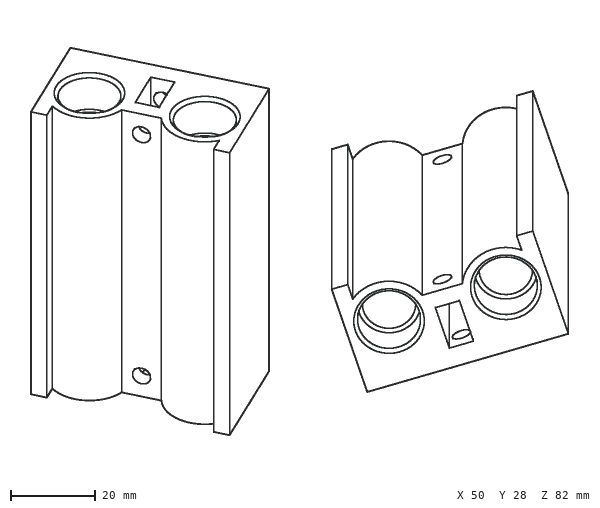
import cadquery as cq

WIDTH = 50.0
DEPTH = 28.0
LENGTH = 82.0

BORE_SPACING = 29.0
TUBE_RADIUS = 10.3
BORE_CENTER_FROM_BACK = 16.0
PASSAGE_RADIUS = 6.3
SEAT_RADIUS = 7.5
SEAT_DEPTH = 10.0
MOUTH_RADIUS = 8.4
MOUTH_DEPTH = 0.9

RAIL_WIDTH = 4.0
WEB_FRONT_FROM_BACK = 20.0

SLOT_WIDTH = 6.0
SLOT_BACK_WALL = 5.0
SLOT_DEPTH = BORE_CENTER_FROM_BACK - SLOT_BACK_WALL

SCREW_HOLE_DIAMETER = 4.5
SCREW_HOLE_SPACING = 70.0

BACK_Y = DEPTH / 2
BORE_Y = BACK_Y - BORE_CENTER_FROM_BACK
BORE_CENTERS = [(-BORE_SPACING / 2, BORE_Y), (BORE_SPACING / 2, BORE_Y)]


def box_from_back(width, start, depth):
    """Full-length box centred on X, starting at a distance in front of the back face."""
    return (
        cq.Workplane("XY")
        .box(width, depth, LENGTH)
        .translate((0, BACK_Y - start - depth / 2, 0))
    )


def make_body():
    """Block with a front recess that leaves two side rails and two half-exposed tubes."""
    block = box_from_back(WIDTH, 0, DEPTH)
    recess = box_from_back(WIDTH - 2 * RAIL_WIDTH, WEB_FRONT_FROM_BACK, DEPTH - WEB_FRONT_FROM_BACK)
    tubes = (
        cq.Workplane("XY", origin=(0, 0, -LENGTH / 2))
        .pushPoints(BORE_CENTERS)
        .circle(TUBE_RADIUS)
        .extrude(LENGTH)
    )
    return block.cut(recess).union(tubes)


def make_bore():
    """Stepped bore on the Z axis: narrow passage with a chamfered bearing seat at each end."""
    top = LENGTH / 2
    upper_half = (
        cq.Workplane("XZ")
        .moveTo(0, 0)
        .lineTo(PASSAGE_RADIUS, 0)
        .lineTo(PASSAGE_RADIUS, top - SEAT_DEPTH)
        .lineTo(SEAT_RADIUS, top - SEAT_DEPTH)
        .lineTo(SEAT_RADIUS, top - MOUTH_DEPTH)
        .lineTo(MOUTH_RADIUS, top)
        .lineTo(0, top)
        .close()
        .revolve(360, (0, 0), (0, 1))
    )
    return upper_half.union(upper_half.mirror("XY"))


def make_screw_holes():
    """Pair of cross holes near the ends, running along Y."""
    return (
        cq.Workplane("XZ", origin=(0, BACK_Y, 0))
        .rarray(0.8, SCREW_HOLE_SPACING, 1, 2)
        .circle(SCREW_HOLE_DIAMETER / 2)
        .extrude(DEPTH)
    )


result = make_body()
bore = make_bore()
for x, y in BORE_CENTERS:
    result = result.cut(bore.translate((x, y, 0)))
result = result.cut(box_from_back(SLOT_WIDTH, SLOT_BACK_WALL, SLOT_DEPTH))
result = result.cut(make_screw_holes())